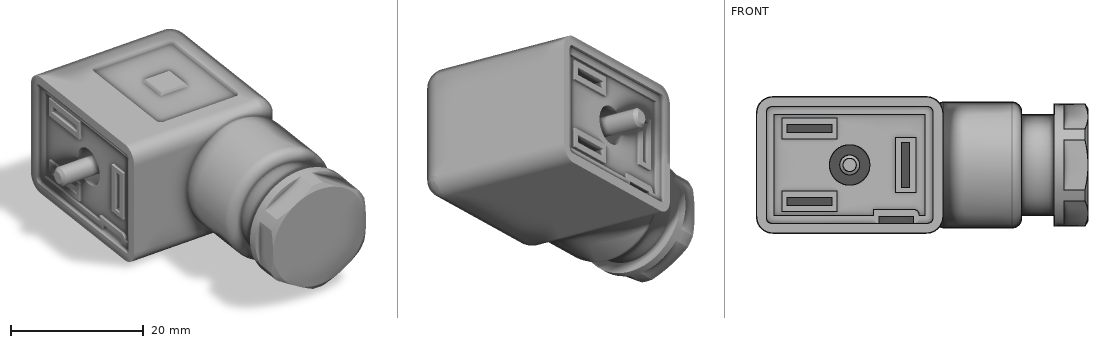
import cadquery as cq
import math

HOUSING_X = 28.1
HOUSING_Y = 26.5
HOUSING_Z = 20.6
SIDE_EDGE_RADIUS = 2.5
BACK_EDGE_RADIUS = 3.0
CENTER_X = HOUSING_X / 2

TOTAL_X = 50.0
OUTLET_Y = 19.0
COLLAR_RADIUS = 9.5
COLLAR_START_X = 28.2
COLLAR_END_X = 40.0
COLLAR_ROUND = 1.5
CONE_SMALL_RADIUS = HOUSING_Y - OUTLET_Y
CONE_START_X = 19.85
NECK_RADIUS = 7.6

NUT_START_X = 44.9
NUT_FLATS_START_X = 46.4
NUT_DIAMETER = 18.45
NUT_RADIUS = NUT_DIAMETER / 2
NUT_ACROSS_FLATS = 16.85
NUT_FLAT_DISTANCE = NUT_ACROSS_FLATS / 2
NUT_SIDES = 6
NUT_CHAMFER = 0.45

RECESS_WIDTH = 25.1
RECESS_HEIGHT = 17.6
RECESS_CORNER_RADIUS = 0.8
LEDGE_DEPTH = 0.65
FLOOR_WIDTH = 22.8
FLOOR_HEIGHT = 15.2
FLOOR_DEPTH = 1.1

TAB_LEFT_X = 17.65
TAB_RIGHT_X = 24.55
TAB_HEIGHT = 0.9
POCKET_LEFT_X = 18.5
POCKET_RIGHT_X = 23.65
POCKET_HEIGHT = 1.05
POCKET_DEPTH = 3.0

FRAME_LENGTH = 8.25
FRAME_WIDTH = 3.1
FRAME_RISE = 0.45
SLOT_LENGTH = 6.75
SLOT_WIDTH = 1.2
SLOT_DEPTH = 5.0
SIDE_FRAME_X = 8.0
SIDE_FRAME_Z = 5.5
END_FRAME_X = 22.5

WELL_RADIUS = 3.05
WELL_DEPTH = 10.0
SCREW_RADIUS = 1.5
SCREW_PROTRUSION = 4.5
SCREW_CHAMFER = 0.5

LABEL_X = 18.7
LABEL_Y = 14.7
LABEL_CENTER_Y = 15.0
LABEL_CORNER_RADIUS = 0.8
LABEL_DEPTH = 0.5
SQUARE_SIDE = 5.05
WALL_INSET = 0.3


def front_plane(depth):
    """Sketch plane parallel to the front face, its normal pointing out of the part."""
    return cq.Workplane("XZ", origin=(0, depth, 0))


def front_block(center_x, center_z, size_x, size_z, near, far):
    """Rectangular block between two depths behind the front face."""
    return front_plane(near).center(center_x, center_z).rect(size_x, size_z).extrude(near - far)


def make_housing():
    box = cq.Workplane().box(HOUSING_X, HOUSING_Y, HOUSING_Z, centered=(False, False, True))
    box = box.edges(">Y").fillet(BACK_EDGE_RADIUS)
    return box.edges("|Y").fillet(SIDE_EDGE_RADIUS)


def make_outlet():
    profile = (
        cq.Workplane("XY", origin=(0, OUTLET_Y, 0))
        .moveTo(CONE_START_X, 0)
        .lineTo(CONE_START_X, CONE_SMALL_RADIUS)
        .lineTo(COLLAR_START_X, COLLAR_RADIUS)
        .lineTo(COLLAR_END_X - COLLAR_ROUND, COLLAR_RADIUS)
        .radiusArc((COLLAR_END_X, COLLAR_RADIUS - COLLAR_ROUND), COLLAR_ROUND)
        .lineTo(COLLAR_END_X, NECK_RADIUS)
        .lineTo(NUT_START_X, NECK_RADIUS)
        .lineTo(NUT_START_X, 0)
        .close()
    )
    return profile.revolve(360, (0, 0, 0), (1, 0, 0))


def make_nut():
    profile = (
        cq.Workplane("XY", origin=(0, OUTLET_Y, 0))
        .moveTo(NUT_START_X, 0)
        .lineTo(NUT_START_X, NUT_RADIUS)
        .lineTo(TOTAL_X - NUT_CHAMFER, NUT_RADIUS)
        .lineTo(TOTAL_X, NUT_FLAT_DISTANCE)
        .lineTo(TOTAL_X, 0)
        .close()
    )
    nut = profile.revolve(360, (0, 0, 0), (1, 0, 0))
    flats = cq.Workplane("YZ", origin=(NUT_FLATS_START_X, OUTLET_Y, 0))
    hexagon = flats.polygon(NUT_SIDES, NUT_ACROSS_FLATS, circumscribed=True)
    hexagon = hexagon.extrude(TOTAL_X - NUT_FLATS_START_X)
    waste = flats.circle(NUT_DIAMETER).extrude(TOTAL_X - NUT_FLATS_START_X).cut(hexagon)
    return nut.cut(waste)


def make_front_recess():
    upper = front_block(CENTER_X, 0, RECESS_WIDTH, RECESS_HEIGHT, 0, LEDGE_DEPTH)
    upper = upper.edges("|Y").fillet(RECESS_CORNER_RADIUS)
    lower = front_block(CENTER_X, 0, FLOOR_WIDTH, FLOOR_HEIGHT, LEDGE_DEPTH, FLOOR_DEPTH)
    tab_bottom = -FLOOR_HEIGHT / 2
    tab_top = tab_bottom + TAB_HEIGHT
    tab = (
        front_plane(LEDGE_DEPTH)
        .moveTo(TAB_LEFT_X, tab_bottom)
        .lineTo(TAB_LEFT_X, tab_top)
        .lineTo(TAB_RIGHT_X - TAB_HEIGHT, tab_top)
        .radiusArc((TAB_RIGHT_X, tab_bottom), TAB_HEIGHT)
        .close()
        .extrude(LEDGE_DEPTH - FLOOR_DEPTH)
    )
    pocket = front_block(
        (POCKET_LEFT_X + POCKET_RIGHT_X) / 2,
        (POCKET_HEIGHT - RECESS_HEIGHT) / 2,
        POCKET_RIGHT_X - POCKET_LEFT_X,
        POCKET_HEIGHT,
        LEDGE_DEPTH,
        POCKET_DEPTH,
    )
    return upper.union(lower.cut(tab)).union(pocket)


def add_contact(body, x, z, upright):
    frame = (FRAME_WIDTH, FRAME_LENGTH) if upright else (FRAME_LENGTH, FRAME_WIDTH)
    slot = (SLOT_WIDTH, SLOT_LENGTH) if upright else (SLOT_LENGTH, SLOT_WIDTH)
    frame_front = FLOOR_DEPTH - FRAME_RISE
    body = body.union(front_block(x, z, *frame, frame_front, FLOOR_DEPTH))
    return body.cut(front_block(x, z, *slot, frame_front, SLOT_DEPTH))


def add_screw(body):
    well = front_plane(FLOOR_DEPTH).center(CENTER_X, 0).circle(WELL_RADIUS)
    well = well.extrude(FLOOR_DEPTH - WELL_DEPTH)
    screw = front_plane(WELL_DEPTH).center(CENTER_X, 0).circle(SCREW_RADIUS)
    screw = screw.extrude(WELL_DEPTH + SCREW_PROTRUSION).faces("<Y").chamfer(SCREW_CHAMFER)
    return body.cut(well).union(screw)


def add_label(body):
    taper = math.degrees(math.atan(WALL_INSET / LABEL_DEPTH))
    top = cq.Workplane("XY", origin=(CENTER_X, LABEL_CENTER_Y, HOUSING_Z / 2))
    outline = cq.Sketch().rect(LABEL_X, LABEL_Y).vertices().fillet(LABEL_CORNER_RADIUS)
    recess = top.placeSketch(outline).extrude(-LABEL_DEPTH, taper=taper)
    square = top.workplane(offset=-LABEL_DEPTH).rect(SQUARE_SIDE, SQUARE_SIDE)
    square = square.extrude(LABEL_DEPTH, taper=taper)
    return body.cut(recess).union(square)


result = make_housing().union(make_outlet()).union(make_nut()).cut(make_front_recess())
for side in (-1, 1):
    result = add_contact(result, SIDE_FRAME_X, side * SIDE_FRAME_Z, upright=False)
result = add_contact(result, END_FRAME_X, 0, upright=True)
result = add_screw(result)
result = add_label(result)